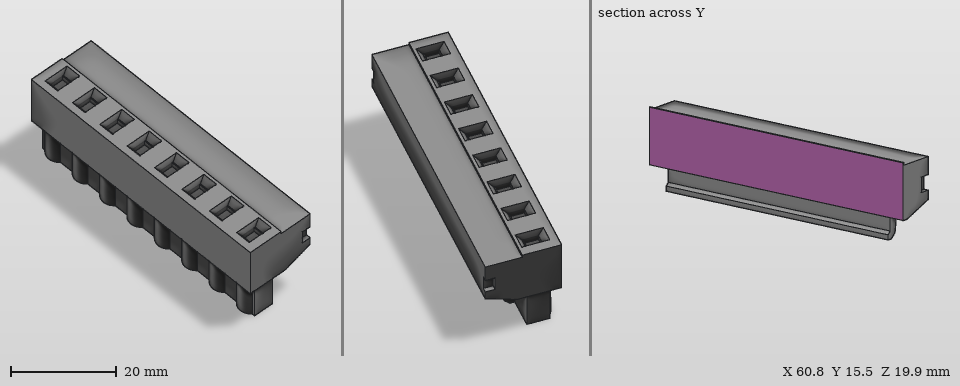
import cadquery as cq


pole_count = 8
pole_pitch = 7.6
block_length = pole_count * pole_pitch

block_depth = 15.5
block_top = 19.9
block_bottom = 8.4
step_y = 8.0
step_height = 0.55
slope_start_y = 8.95
slope_end_z = 10.85

notch_depth = 2.0
notch_length = 1.05
notch_bottom = 12.7
notch_height = 3.05

plug_length = 59.0
plug_front_y = 2.0
plug_back_y = 6.7
taper_start_z = 6.75
taper_front_y = 1.6

rib_front_y = 1.0
rib_width = 4.4

funnel_width = 3.5
funnel_front_y = 1.65
funnel_back_y = 7.3
funnel_depth = 1.45
throat_width = 2.8
throat_front_y = 2.75
throat_back_y = 6.1
ledge_width = 0.25
well_depth = 1.05

latch_length = (pole_count - 1) * pole_pitch
latch_front_y = 8.65
latch_root_y = 11.0
latch_back_y = 10.2
latch_tip_z = 3.85
latch_tip_front_y = 8.05
latch_tip_back_y = 9.0
latch_barb_z = 4.9
latch_barb_top_z = 5.5
latch_flare = 0.3


def pole_positions():
    return [(i - (pole_count - 1) / 2) * pole_pitch for i in range(pole_count)]


def extrude_along_x(profile, length):
    """Extrude a closed list of (y, z) points along X, centred on X = 0."""
    return cq.Workplane("YZ").polyline(profile).close().extrude(length / 2, both=True)


def make_housing():
    profile = [
        (0, block_bottom),
        (slope_start_y, block_bottom),
        (block_depth, slope_end_z),
        (block_depth, block_top - step_height),
        (step_y, block_top - step_height),
        (step_y, block_top),
        (0, block_top),
    ]
    return extrude_along_x(profile, block_length)


def make_notch(side):
    """Cutter for the back corner at one end; side is -1 or 1."""
    return cq.Workplane("XY").box(
        notch_length, notch_depth, notch_height, centered=(True, True, False)
    ).translate((
        side * (block_length - notch_length) / 2,
        block_depth - notch_depth / 2,
        notch_bottom,
    ))


def make_plug():
    profile = [
        (plug_front_y, 0),
        (plug_back_y, 0),
        (plug_back_y, block_bottom),
        (taper_front_y, block_bottom),
        (plug_front_y, taper_start_z),
    ]
    return extrude_along_x(profile, plug_length)


def make_rib(x):
    """Rib with a circular front face bulging from the plug, running back through the plug."""
    return (
        cq.Workplane("XY")
        .moveTo(x - rib_width / 2, plug_front_y)
        .threePointArc((x, rib_front_y), (x + rib_width / 2, plug_front_y))
        .lineTo(x + rib_width / 2, plug_back_y)
        .lineTo(x - rib_width / 2, plug_back_y)
        .close()
        .extrude(block_bottom)
    )


def rectangle(x, width, front_y, back_y, z):
    """Rectangle centred on x in the horizontal plane at height z."""
    return (
        cq.Workplane("XY", origin=(x, (front_y + back_y) / 2, z))
        .rect(width, back_y - front_y)
    )


def make_funnel(x):
    """Cutter for one opening: a tapered funnel above a straight-walled well."""
    throat_z = block_top - funnel_depth
    throat_centre_y = (throat_front_y + throat_back_y) / 2
    funnel_centre_y = (funnel_front_y + funnel_back_y) / 2
    funnel = (
        rectangle(x, funnel_width, funnel_front_y, funnel_back_y, block_top)
        .workplane(offset=-funnel_depth)
        .center(0, throat_centre_y - funnel_centre_y)
        .rect(throat_width, throat_back_y - throat_front_y)
        .loft(ruled=True)
    )
    well = rectangle(
        x, throat_width, throat_front_y, throat_back_y - ledge_width, throat_z
    ).extrude(-well_depth)
    return funnel.union(well)


def make_latch():
    """Hooked strip hanging from the housing, with a barb pointing at the plug and a flared root."""
    profile = [
        (latch_front_y, latch_barb_top_z),
        (latch_tip_front_y, latch_barb_z),
        (latch_tip_front_y, latch_tip_z),
        (latch_tip_back_y, latch_tip_z),
        (latch_back_y, latch_barb_z),
        (latch_root_y, slope_end_z),
        (latch_front_y - latch_flare, slope_end_z),
        (latch_front_y - latch_flare, block_bottom),
        (latch_front_y, block_bottom - latch_flare),
    ]
    return extrude_along_x(profile, latch_length)


result = make_housing().union(make_plug()).union(make_latch())

for pole_x in pole_positions():
    result = result.union(make_rib(pole_x))
    result = result.cut(make_funnel(pole_x))

for end in (-1, 1):
    result = result.cut(make_notch(end))